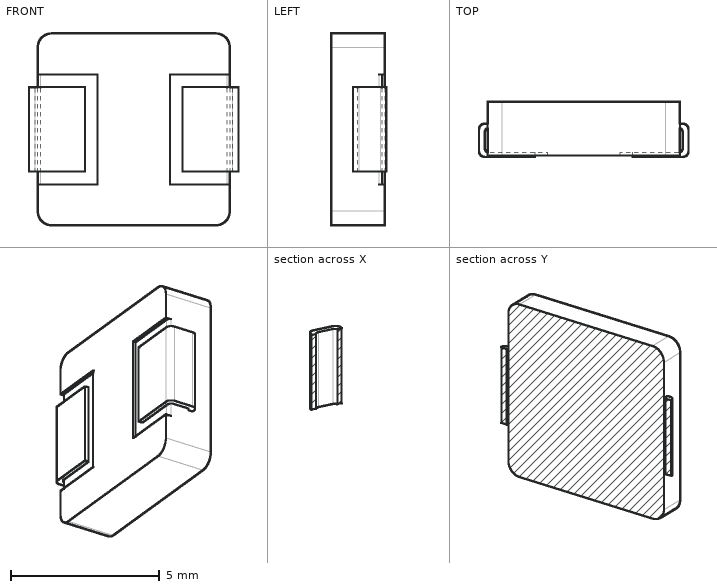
import cadquery as cq

BODY_SIDE = 6.49
BODY_DEPTH = 1.82
CORNER_RADIUS = 0.48

RECESS_LENGTH = 2.02
RECESS_HEIGHT = 3.71
RECESS_DEPTH = 0.1
RECESS_EDGE_RADIUS = 0.1

TERMINAL_SPAN = 7.08
TERMINAL_HEIGHT = 2.85
TERMINAL_STANDOFF = 0.05
UPRIGHT_THICKNESS = 0.2
LEG_THICKNESS = TERMINAL_STANDOFF + RECESS_DEPTH
BEND_RADIUS = 0.2
INNER_BEND_RADIUS = 0.15
TERMINAL_DEPTH = 1.13
FOOT_LENGTH = 1.89
BACK_LEG_EMBED = 0.3

HALF_SIDE = BODY_SIDE / 2
HALF_SPAN = TERMINAL_SPAN / 2


def block(x_min, x_max, y_min, y_max, height):
    """Box between the given X and Y limits, centred on Z = 0."""
    return (
        cq.Workplane("XY")
        .box(x_max - x_min, y_max - y_min, height, centered=(False, False, True))
        .translate((x_min, y_min, 0))
    )


def make_body():
    """Square block with rounded corners along Y."""
    body = block(-HALF_SIDE, HALF_SIDE, 0, BODY_DEPTH, BODY_SIDE)
    return body.edges("|Y").fillet(CORNER_RADIUS)


def make_left_recess():
    """Cutter for the left recess; its floor rolls over into the side face."""
    inner_x = RECESS_LENGTH - HALF_SIDE
    roll_start_x = RECESS_EDGE_RADIUS - HALF_SIDE
    roll_end_y = RECESS_DEPTH + RECESS_EDGE_RADIUS
    roll_end_x = -HALF_SIDE
    profile = (
        cq.Workplane("XY")
        .workplane(offset=-RECESS_HEIGHT / 2)
        .moveTo(inner_x, 0)
        .lineTo(inner_x, RECESS_DEPTH)
        .lineTo(roll_start_x, RECESS_DEPTH)
        .radiusArc((roll_end_x, roll_end_y), RECESS_EDGE_RADIUS)
        .lineTo(roll_end_x, 0)
        .close()
    )
    return profile.extrude(RECESS_HEIGHT)


def make_left_terminal():
    """Bent strip: foot in the recess, upright beside the body, leg into the side."""
    outer_x = -HALF_SPAN
    front_y = -TERMINAL_STANDOFF
    back_y = front_y + TERMINAL_DEPTH
    leg_end_x = BACK_LEG_EMBED - HALF_SIDE
    foot_end_x = outer_x + FOOT_LENGTH

    strip = block(outer_x, foot_end_x, front_y, back_y, TERMINAL_HEIGHT)
    strip = strip.edges("|Z and <X").fillet(BEND_RADIUS)

    inside = block(
        outer_x + UPRIGHT_THICKNESS,
        foot_end_x,
        front_y + LEG_THICKNESS,
        back_y - LEG_THICKNESS,
        TERMINAL_HEIGHT,
    )
    inside = inside.edges("|Z and <X").fillet(INNER_BEND_RADIUS)

    past_leg = block(leg_end_x, foot_end_x, front_y + LEG_THICKNESS, back_y, TERMINAL_HEIGHT)
    return strip.cut(inside).cut(past_leg)


def on_both_sides(left_shape):
    """The left shape together with its mirror image across X = 0."""
    return [left_shape, left_shape.mirror("YZ")]


result = make_body()
for recess in on_both_sides(make_left_recess()):
    result = result.cut(recess)
for terminal in on_both_sides(make_left_terminal()):
    result = result.union(terminal)